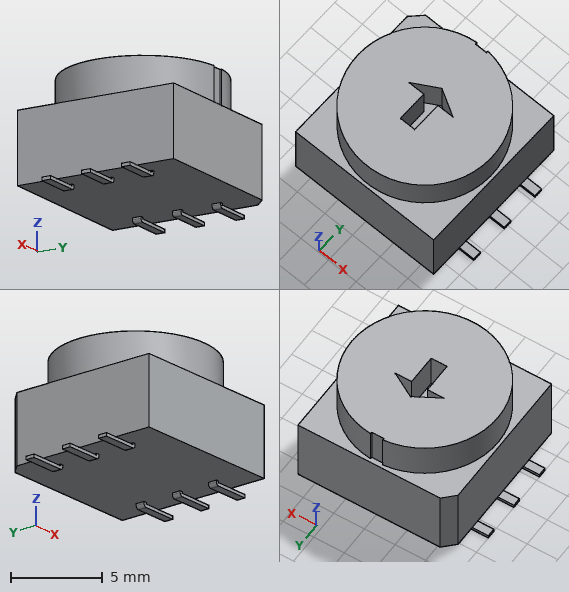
import cadquery as cq

body_side = 10.0
body_bottom = 0.3
body_top = 4.61
corner_cut = 0.71

total_height = 6.8
dial_diameter = 9.6
dial_height = total_height - body_top
notch_width = 0.79
notch_floor_y = 4.67

arrow_half_length = 1.43
arrow_half_width = 1.6
arrow_shoulder_y = 0.52
arrow_stem_half_width = 0.52

terminal_span = 12.0
terminal_inner_x = 3.52
terminal_width = 0.55
terminal_thickness = 0.2
terminal_bend_radius = 0.19
terminal_pitch = 2.55


def make_body():
    """Square housing with the (-X, +Y) corner cut off as the pin 1 mark."""
    height = body_top - body_bottom
    block = cq.Workplane("XY").workplane(offset=body_bottom)
    block = block.rect(body_side, body_side).extrude(height)
    return block.edges("|Z and <X and >Y").chamfer(corner_cut)


def make_dial():
    """Round dial with an index notch on the +Y rim."""
    dial = cq.Workplane("XY").workplane(offset=body_top)
    dial = dial.circle(dial_diameter / 2).extrude(dial_height)
    notch_length = dial_diameter / 2 - notch_floor_y
    notch = cq.Workplane("XY").box(
        notch_width, notch_length, dial_height, centered=(True, False, False)
    )
    return dial.cut(notch.translate((0, notch_floor_y, body_top)))


def make_arrow_slot():
    """Arrow pointing to +Y, sunk through the full height of the dial."""
    outline = [
        (0, arrow_half_length),
        (arrow_half_width, arrow_shoulder_y),
        (arrow_stem_half_width, arrow_shoulder_y),
        (arrow_stem_half_width, -arrow_half_length),
        (-arrow_stem_half_width, -arrow_half_length),
        (-arrow_stem_half_width, arrow_shoulder_y),
        (-arrow_half_width, arrow_shoulder_y),
    ]
    top_plane = cq.Workplane("XY").workplane(offset=total_height)
    return top_plane.polyline(outline).close().extrude(-dial_height)


def make_terminal():
    """L-shaped terminal on the +X side, bent outward under the housing."""
    profile = [
        (terminal_span / 2, 0),
        (terminal_inner_x, 0),
        (terminal_inner_x, body_bottom),
        (terminal_inner_x + terminal_thickness, body_bottom),
        (terminal_inner_x + terminal_thickness, terminal_thickness),
        (terminal_span / 2, terminal_thickness),
    ]
    terminal = cq.Workplane("XZ").polyline(profile).close().extrude(terminal_width / 2, both=True)
    return terminal.edges("|Y and <X and <Z").fillet(terminal_bend_radius)


result = make_body().union(make_dial()).cut(make_arrow_slot())

right_terminal = make_terminal()
left_terminal = right_terminal.mirror("YZ")
for row in (-1, 0, 1):
    offset = (0, row * terminal_pitch, 0)
    result = result.union(right_terminal.translate(offset))
    result = result.union(left_terminal.translate(offset))